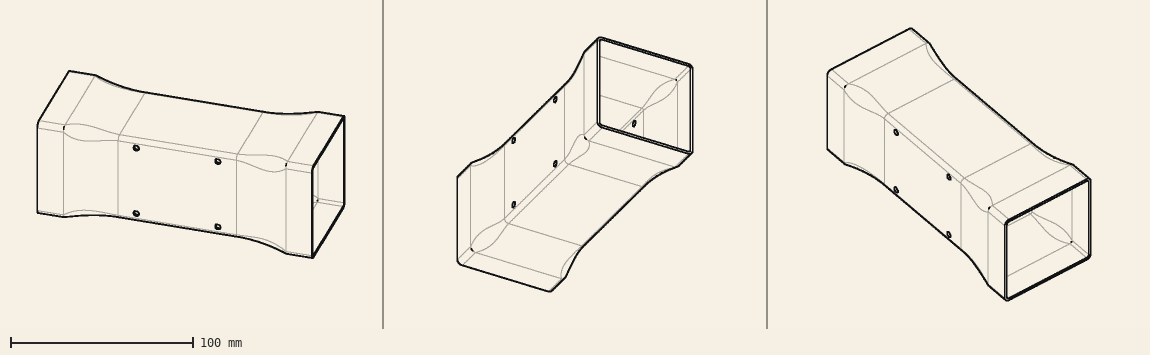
import cadquery as cq

total_length = 158.0
collar_length = 15.0
transition_length = 30.0
middle_length = total_length - 2 * (collar_length + transition_length)

wall = 1.5

collar_width = 60.0
collar_height = 59.1
collar_corner_radius = 3.0

middle_width = 51.0
middle_height = 53.0
middle_corner_radius = 2.5

corner_swell = 23.7
transition_steps = 8

hole_diameter = 3.2
hole_spacing_x = 47.0
hole_spacing_z = 42.0


def mix(collar_value, middle_value, share):
    """Value between the collar (share 0) and the middle tube (share 1)."""
    return collar_value + (middle_value - collar_value) * share


def section(position, inner):
    """Width, height and corner radius at a position from the collar (0) to the middle tube (1)."""
    s_curve = position**2 * (3 - 2 * position)
    swell = corner_swell * position * (1 - position) ** 2
    width = mix(collar_width, middle_width, s_curve)
    height = mix(collar_height, middle_height, s_curve)
    radius = mix(collar_corner_radius, middle_corner_radius, position) + swell
    inset = wall if inner else 0.0
    return width - 2 * inset, height - 2 * inset, radius - inset


def section_sketch(position, inner):
    """Rounded rectangle at a position along the transition."""
    width, height, radius = section(position, inner)
    return cq.Sketch().rect(width, height).vertices().fillet(radius)


def straight_tube(start_x, length, position, inner):
    """Solid rounded bar along +X with the section found at the given position."""
    sketch = section_sketch(position, inner)
    return cq.Workplane("YZ", origin=(start_x, 0, 0)).placeSketch(sketch).extrude(length)


def transition(direction, inner):
    """Solid lofted from a collar to the middle tube; direction is -1 or +1 along X."""
    collar_face_x = total_length / 2 - collar_length
    sketches = []
    for step in range(transition_steps + 1):
        position = step / transition_steps
        x = direction * (collar_face_x - position * transition_length)
        sketches.append(section_sketch(position, inner).moved(cq.Location(cq.Vector(0, 0, x))))
    return cq.Workplane("YZ").placeSketch(*sketches).loft()


def envelope(inner):
    """Whole duct as a filled solid: the outside shape, or the space inside it."""
    body = straight_tube(-middle_length / 2, middle_length, 1, inner)
    for direction in (-1, 1):
        body = body.union(transition(direction, inner))
    for collar_x in (-total_length / 2, total_length / 2 - collar_length):
        body = body.union(straight_tube(collar_x, collar_length, 0, inner))
    return body


def screw_holes():
    """Four cylinders along Y at the corners of the hole pattern."""
    return (
        cq.Workplane("XZ")
        .rect(hole_spacing_x, hole_spacing_z, forConstruction=True)
        .vertices()
        .circle(hole_diameter / 2)
        .extrude(middle_width, both=True)
    )


result = envelope(inner=False).cut(envelope(inner=True)).cut(screw_holes())